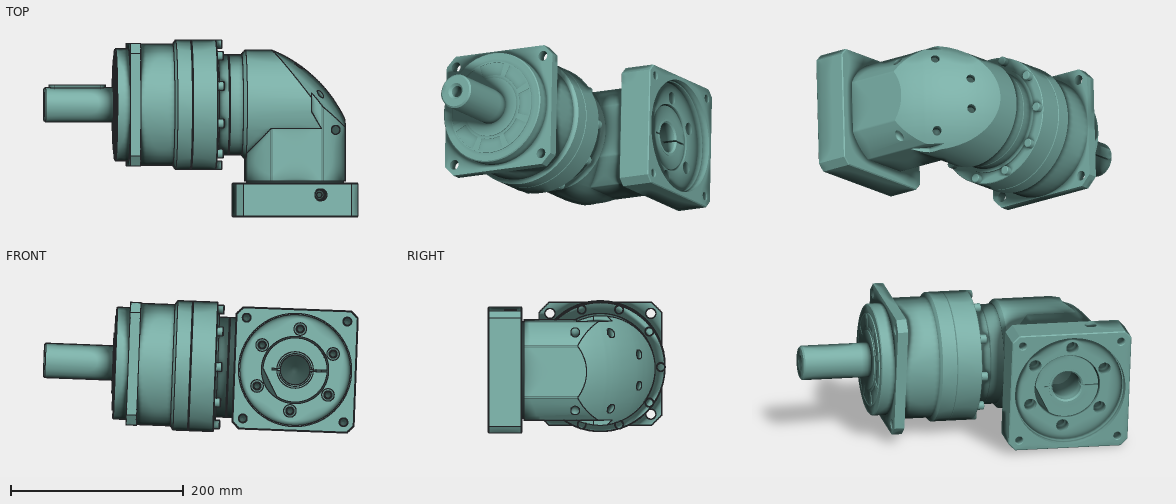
import cadquery as cq
import math

TILT = 2.2

SHAFT_R = 20.0
SHAFT_END_X = -291.0
SHAFT_INNER_X = -164.0
SHAFT_CHAMFER = 2.0
SHOULDER_R = 34.5
SHOULDER_X = -211.2
SHOULDER_LENGTH = 8.8
CENTRE_HOLE_R = 6.5
CENTRE_HOLE_MOUTH = 3.0
CENTRE_HOLE_DEPTH = 33.0
KEY_START_X = -285.3
KEY_LENGTH = 65.3
KEY_WIDTH = 12.0
KEY_TOP = 23.0
KEY_HEIGHT = 8.0

COVER_R = 54.5
COVER_X = -210.0
PILOT_R = 65.0
PILOT_X = -209.0
PILOT_CHAMFER = 1.0
FLANGE_X = -193.5
FLANGE_THICK = 12.0
FLANGE_SIDE = 142.3
FLANGE_CORNER = 11.5
FLANGE_HOLE_OFFSET = 58.5
FLANGE_HOLE_R = 6.0
BODY_R = 70.5
BODY_END_X = -142.0
COVER_POCKETS = 8
COVER_POCKET_INNER_R = 38.0
COVER_POCKET_OUTER_R = 53.0
COVER_POCKET_ANGLE = 36.0
COVER_POCKET_DEPTH = 0.7

RING_R = 75.0
RING_CONE_LENGTH = 3.3
RING_START_X = -121.0
RING_END_X = -92.0
RING_CHAMFER = 0.7
RING_BOSS_R = 62.0
RING_BOSS_LENGTH = 2.2
HEAD_COUNT = 10
HEAD_R = 5.0
HEAD_HEIGHT = 7.3
HEAD_CHAMFER = 0.7
HEAD_CIRCLE_R = RING_R - HEAD_R

NECK_R = 58.0
NECK_END_X = -77.7
NECK_CHAMFER = 0.7
ELBOW_R = 63.5
LIMB_R = 64.5
ELBOW_STEP_X = -62.0
ELBOW_STEP_CHAMFER = 4.5
ELBOW_MAIN_END_X = 16.8
ELBOW_END_SLOPE_Y = -8.0
ELBOW_END_SLOPE_LENGTH = 12.5
ELBOW_END_SLOPE_DROP = 21.0
LIMB_FLAT = 57.3
LIMB_EDGE_R = 4.5
LIMB_END_Y = -88.3
DOME_RIM_R = 160.5
DOME_CROWN_R = 106.5
DOME_TOP = 38.3
DOME_SHIFT = 1.5
DOME_HOLE_R = 5.0
DOME_HOLE_DEPTH = 11.0
DOME_HOLES = [(11.0, 43.8), (-29.2, 18.2)]
SIDE_HOLE_X = 45.5
SIDE_HOLE_Y = -29.2
SIDE_HOLE_FLOOR = 29.2

PLATE_FRONT_Y = -130.0
PLATE_THICK = 39.0
PLATE_BACK_Y = PLATE_FRONT_Y + PLATE_THICK
PLATE_SIDE = 141.5
PLATE_CORNER = 8.0
PLATE_EDGE = 1.0
SPIGOT_R = 56.2
RECESS_R = 65.5
RECESS_STEP_R = 64.2
RECESS_STEP_DEPTH = 8.5
RECESS_DEPTH = 14.5
FLOOR_Y = PLATE_FRONT_Y + RECESS_DEPTH
OPENING_R = 39.0
MOTOR_HOLE_OFFSET = 58.5
MOTOR_HOLE_R = 4.5
MOTOR_HOLE_DEPTH = 22.0
MOTOR_HOLE_MOUTH = 0.7
PLATE_BOLTS = 6
PLATE_BOLT_START = 25.0
PLATE_BOLT_CIRCLE_R = 47.8
BOLT_SEAT_R = 7.3
BOLT_SEAT_DEPTH = 11.0
BOLT_CLEARANCE_R = 4.7
BOLT_TAP_R = 3.5
BOLT_TAP_DEPTH = 18.2
ACCESS_R = 7.0

COLLAR_R = 37.2
COLLAR_FRONT_Y = -113.0
COLLAR_FLAT = 32.5
COLLAR_FLAT_ANGLE = 208.0
SLIT = 2.2
RELIEF_SLIT_R = 27.0
CLAMP_X = 27.5
CLAMP_Y = -104.5
CLAMP_HEAD_R = 5.5
CLAMP_SEAT_Z = 11.0
CLAMP_HEAD_HEIGHT = 9.0
CLAMP_SHANK_R = 3.3
CLAMP_END_Z = -18.2
CLAMP_SOCKET_ACROSS = 6.0
CLAMP_SOCKET_DEPTH = 4.5
HUB_R = 21.0
HUB_BORE_R = 17.0
HUB_CHAMFER = 2.0
HUB_FRONT_Y = -114.0
HUB_INNER_Y = -43.8
HUB_BORE_DEPTH = 51.0
HUB_SLIT_DEPTH = 18.2

DRILL_TIP_HALF_ANGLE = math.radians(59)


def turned(points):
    """Solid of revolution about X from (x, radius) points."""
    return cq.Workplane("XZ").polyline(points).close().revolve(360, (0, 0, 0), (1, 0, 0))


def cylinder(start, direction, radius, length):
    return cq.Workplane(cq.Solid.makeCylinder(radius, length, cq.Vector(*start), cq.Vector(*direction)))


def along_y(x, z, radius, y_start, length):
    return cylinder((x, y_start, z), (0, 1, 0), radius, length)


def drilled(start, direction, radius, depth):
    """Blind hole tool with a conical drill tip."""
    axis = cq.Vector(*direction)
    tip_start = cq.Vector(*start) + axis * depth
    tip_length = radius / math.tan(DRILL_TIP_HALF_ANGLE)
    tip = cq.Solid.makeCone(radius, 0, tip_length, tip_start, axis)
    return cylinder(start, direction, radius, depth).union(cq.Workplane(tip))


def countersink(start, direction, radius, widening):
    """Conical mouth that closes at 45 degrees down to the hole radius."""
    mouth = cq.Solid.makeCone(radius + widening, radius, widening, cq.Vector(*start), cq.Vector(*direction))
    return cq.Workplane(mouth)


def square_corners(offset):
    return [(side * offset, end * offset) for side in (-1, 1) for end in (-1, 1)]


def bolt_positions():
    angles = [math.radians(PLATE_BOLT_START + 360 / PLATE_BOLTS * i) for i in range(PLATE_BOLTS)]
    return [(PLATE_BOLT_CIRCLE_R * math.cos(a), PLATE_BOLT_CIRCLE_R * math.sin(a)) for a in angles]


def make_key():
    blank = cq.Workplane("XZ", origin=(KEY_START_X + KEY_LENGTH / 2, KEY_TOP, 0))
    return blank.slot2D(KEY_LENGTH, KEY_WIDTH).extrude(KEY_HEIGHT)


def make_shaft():
    shoulder_end_x = SHOULDER_X + SHOULDER_LENGTH
    shaft = turned([
        (SHAFT_END_X, 0),
        (SHAFT_END_X, SHAFT_R - SHAFT_CHAMFER),
        (SHAFT_END_X + SHAFT_CHAMFER, SHAFT_R),
        (SHOULDER_X, SHAFT_R),
        (SHOULDER_X, SHOULDER_R),
        (shoulder_end_x, SHOULDER_R),
        (shoulder_end_x, SHAFT_R),
        (SHAFT_INNER_X, SHAFT_R),
        (SHAFT_INNER_X, 0),
    ])
    end = (SHAFT_END_X, 0, 0)
    shaft = shaft.cut(drilled(end, (1, 0, 0), CENTRE_HOLE_R, CENTRE_HOLE_DEPTH))
    return shaft.cut(countersink(end, (1, 0, 0), CENTRE_HOLE_R, CENTRE_HOLE_MOUTH))


def cover_pockets():
    """Shallow sector-shaped pockets spread round the front cover."""
    ring = cylinder((COVER_X, 0, 0), (1, 0, 0), COVER_POCKET_OUTER_R, COVER_POCKET_DEPTH)
    ring = ring.cut(cylinder((COVER_X, 0, 0), (1, 0, 0), COVER_POCKET_INNER_R, COVER_POCKET_DEPTH))
    reach = 2 * COVER_POCKET_OUTER_R
    half_width = reach * math.tan(math.radians(COVER_POCKET_ANGLE / 2))
    wedge = cq.Workplane("YZ", origin=(COVER_X, 0, 0))
    wedge = wedge.polyline([(0, 0), (reach, -half_width), (reach, half_width)]).close()
    sector = ring.intersect(wedge.extrude(COVER_POCKET_DEPTH))
    pockets = sector
    for i in range(1, COVER_POCKETS):
        pockets = pockets.union(sector.rotate((0, 0, 0), (1, 0, 0), 360 / COVER_POCKETS * i))
    return pockets


def make_output_housing(shaft):
    ring_full_x = BODY_END_X + RING_CONE_LENGTH
    housing = turned([
        (COVER_X, 0),
        (COVER_X, COVER_R),
        (PILOT_X, COVER_R),
        (PILOT_X, PILOT_R - PILOT_CHAMFER),
        (PILOT_X + PILOT_CHAMFER, PILOT_R),
        (FLANGE_X, PILOT_R),
        (FLANGE_X, BODY_R),
        (BODY_END_X, BODY_R),
        (ring_full_x, RING_R),
        (RING_START_X - RING_CHAMFER, RING_R),
        (RING_START_X, RING_R - RING_CHAMFER),
        (RING_START_X, 0),
    ])
    flange = cq.Workplane("YZ", origin=(FLANGE_X, 0, 0)).rect(FLANGE_SIDE, FLANGE_SIDE)
    flange = flange.extrude(FLANGE_THICK).edges("|X").chamfer(FLANGE_CORNER)
    housing = housing.union(flange)
    for y, z in square_corners(FLANGE_HOLE_OFFSET):
        housing = housing.cut(cylinder((FLANGE_X, y, z), (1, 0, 0), FLANGE_HOLE_R, FLANGE_THICK))
    return housing.cut(cover_pockets()).cut(shaft)


def make_ring_gear():
    ring = turned([
        (RING_START_X, 0),
        (RING_START_X, RING_R - RING_CHAMFER),
        (RING_START_X + RING_CHAMFER, RING_R),
        (RING_END_X - RING_CHAMFER, RING_R),
        (RING_END_X, RING_R - RING_CHAMFER),
        (RING_END_X, 0),
    ])
    for i in range(HEAD_COUNT):
        angle = 2 * math.pi * i / HEAD_COUNT
        y = HEAD_CIRCLE_R * math.cos(angle)
        z = HEAD_CIRCLE_R * math.sin(angle)
        head = cylinder((RING_END_X, y, z), (1, 0, 0), HEAD_R, HEAD_HEIGHT)
        ring = ring.union(head.faces(">X").chamfer(HEAD_CHAMFER))
    return ring


def make_neck():
    boss_end_x = RING_END_X + RING_BOSS_LENGTH
    return turned([
        (RING_END_X, 0),
        (RING_END_X, RING_BOSS_R),
        (boss_end_x, RING_BOSS_R),
        (boss_end_x, NECK_R),
        (NECK_END_X - NECK_CHAMFER, NECK_R),
        (NECK_END_X, NECK_R - NECK_CHAMFER),
        (NECK_END_X, 0),
    ])


def limb():
    """Motor limb: a round bar along Y with four flats and eased edges between flats and rounds."""
    length = LIMB_R - LIMB_END_Y
    bar = along_y(0, 0, LIMB_R, LIMB_END_Y, length)
    block = cq.Workplane("XZ", origin=(0, LIMB_END_Y, 0)).rect(2 * LIMB_FLAT, 2 * LIMB_FLAT)
    return bar.intersect(block.extrude(-length)).edges("|Y").fillet(LIMB_EDGE_R)


def inside_bend_trim():
    """Space above the output axis, up to the end of the output limb, that the motor limb leaves free."""
    width = LIMB_R + ELBOW_MAIN_END_X
    block = cq.Workplane("XY").box(width, LIMB_R, 2 * LIMB_R, centered=(False, False, True))
    return block.translate((-LIMB_R, 0, 0))


def dome():
    """Barrel whose outer face crowns the outside of the bend, square to the bisector of both axes."""
    rim_z = LIMB_R
    rim_drop = DOME_CROWN_R - math.sqrt(DOME_CROWN_R**2 - rim_z**2)
    profile = cq.Workplane("XZ").moveTo(0, -rim_z).lineTo(DOME_RIM_R - rim_drop, -rim_z)
    profile = profile.threePointArc((DOME_RIM_R, 0), (DOME_RIM_R - rim_drop, rim_z)).lineTo(0, rim_z).close()
    barrel = profile.revolve(360, (0, 0, 0), (0, 1, 0))
    return barrel.translate((DOME_TOP - DOME_RIM_R, DOME_SHIFT, 0)).rotate((0, 0, 0), (0, 0, 1), 45)


def dome_hole(along, z):
    """Blind hole parallel to the bisector, at a distance along the bend from its middle."""
    drop = z**2 / (2 * DOME_CROWN_R) + along**2 / (2 * DOME_RIM_R)
    floor = DOME_TOP - drop - DOME_HOLE_DEPTH
    tool = cylinder((floor, -along, z), (1, 0, 0), DOME_HOLE_R, 2 * DOME_HOLE_DEPTH)
    return tool.rotate((0, 0, 0), (0, 0, 1), 45)


def end_relief():
    """Trims the end of the output limb: straight across, then sloping outward toward the motor limb."""
    outline = cq.Workplane("XY", origin=(0, 0, -ELBOW_R)).polyline([
        (ELBOW_MAIN_END_X, ELBOW_R),
        (ELBOW_MAIN_END_X, ELBOW_END_SLOPE_Y),
        (ELBOW_MAIN_END_X + ELBOW_END_SLOPE_LENGTH, ELBOW_END_SLOPE_Y - ELBOW_END_SLOPE_DROP),
        (ELBOW_R, ELBOW_END_SLOPE_Y - ELBOW_END_SLOPE_DROP),
        (ELBOW_R, ELBOW_R),
    ])
    return outline.close().extrude(2 * ELBOW_R)


def make_elbow():
    slope_end_x = ELBOW_MAIN_END_X + ELBOW_END_SLOPE_LENGTH
    main = turned([
        (NECK_END_X, 0),
        (NECK_END_X, NECK_R - NECK_CHAMFER),
        (NECK_END_X + NECK_CHAMFER, NECK_R),
        (ELBOW_STEP_X, NECK_R),
        (ELBOW_STEP_X, ELBOW_R - ELBOW_STEP_CHAMFER),
        (ELBOW_STEP_X + ELBOW_STEP_CHAMFER, ELBOW_R),
        (slope_end_x, ELBOW_R),
        (slope_end_x, 0),
    ])
    elbow = main.cut(end_relief()).union(limb().cut(inside_bend_trim()))
    elbow = elbow.intersect(dome())
    elbow = elbow.union(along_y(0, 0, SPIGOT_R, PLATE_BACK_Y, LIMB_END_Y - PLATE_BACK_Y))
    for x, z in bolt_positions():
        elbow = elbow.cut(drilled((x, PLATE_BACK_Y, z), (0, 1, 0), BOLT_TAP_R, BOLT_TAP_DEPTH))
    for side in (-1, 1):
        side_hole_start = (SIDE_HOLE_X, SIDE_HOLE_Y, side * SIDE_HOLE_FLOOR)
        elbow = elbow.cut(cylinder(side_hole_start, (0, 0, side), DOME_HOLE_R, LIMB_R))
        for along, z in DOME_HOLES:
            elbow = elbow.cut(dome_hole(along, side * z))
    return elbow.cut(along_y(0, 0, HUB_R, PLATE_BACK_Y, HUB_INNER_Y - PLATE_BACK_Y))


def make_motor_plate():
    plate = cq.Workplane("XZ", origin=(0, PLATE_BACK_Y, 0)).rect(PLATE_SIDE, PLATE_SIDE)
    plate = plate.extrude(PLATE_THICK).edges("|Y").chamfer(PLATE_CORNER)
    plate = plate.faces("<Y or >Y").edges().chamfer(PLATE_EDGE)
    plate = plate.cut(along_y(0, 0, RECESS_R, PLATE_FRONT_Y, RECESS_STEP_DEPTH))
    plate = plate.cut(along_y(0, 0, RECESS_STEP_R, PLATE_FRONT_Y, RECESS_DEPTH))
    plate = plate.cut(along_y(0, 0, OPENING_R, PLATE_FRONT_Y, PLATE_THICK))
    for x, z in square_corners(MOTOR_HOLE_OFFSET):
        mouth = (x, PLATE_FRONT_Y, z)
        plate = plate.cut(drilled(mouth, (0, 1, 0), MOTOR_HOLE_R, MOTOR_HOLE_DEPTH))
        plate = plate.cut(countersink(mouth, (0, 1, 0), MOTOR_HOLE_R, MOTOR_HOLE_MOUTH))
    for x, z in bolt_positions():
        plate = plate.cut(along_y(x, z, BOLT_SEAT_R, FLOOR_Y, BOLT_SEAT_DEPTH))
        plate = plate.cut(along_y(x, z, BOLT_CLEARANCE_R, FLOOR_Y, PLATE_THICK))
    return plate.cut(cylinder((CLAMP_X, CLAMP_Y, 0), (0, 0, 1), ACCESS_R, PLATE_SIDE))


def make_hub():
    hub = along_y(0, 0, HUB_R, HUB_FRONT_Y, HUB_INNER_Y - HUB_FRONT_Y)
    hub = hub.cut(drilled((0, HUB_FRONT_Y, 0), (0, 1, 0), HUB_BORE_R, HUB_BORE_DEPTH))
    hub = hub.cut(countersink((0, HUB_FRONT_Y, 0), (0, 1, 0), HUB_BORE_R, HUB_CHAMFER))
    slit = cq.Workplane("XY").box(2 * HUB_R, HUB_SLIT_DEPTH, SLIT, centered=(True, False, True))
    return hub.cut(slit.translate((0, HUB_FRONT_Y, 0)))


def clamp_screw_blank():
    shank = cylinder((CLAMP_X, CLAMP_Y, CLAMP_END_Z), (0, 0, 1), CLAMP_SHANK_R, CLAMP_SEAT_Z - CLAMP_END_Z)
    head = cylinder((CLAMP_X, CLAMP_Y, CLAMP_SEAT_Z), (0, 0, 1), CLAMP_HEAD_R, CLAMP_HEAD_HEIGHT)
    return shank.union(head)


def make_clamp_screw():
    head_top = cq.Workplane("XY", origin=(CLAMP_X, CLAMP_Y, CLAMP_SEAT_Z + CLAMP_HEAD_HEIGHT))
    across_corners = CLAMP_SOCKET_ACROSS / math.cos(math.pi / 6)
    return clamp_screw_blank().cut(head_top.polygon(6, across_corners).extrude(-CLAMP_SOCKET_DEPTH))


def make_collar():
    length = PLATE_BACK_Y - COLLAR_FRONT_Y
    collar = along_y(0, 0, COLLAR_R, COLLAR_FRONT_Y, length)
    trim = cq.Workplane("XY").box(COLLAR_R, length, 2 * COLLAR_R, centered=(False, False, True))
    trim = trim.translate((COLLAR_FLAT, COLLAR_FRONT_Y, 0))
    collar = collar.cut(trim.rotate((0, 0, 0), (0, 1, 0), -COLLAR_FLAT_ANGLE))
    collar = collar.cut(along_y(0, 0, HUB_R, COLLAR_FRONT_Y, length))
    slit_length = RELIEF_SLIT_R + COLLAR_R
    slit = cq.Workplane("XY").box(slit_length, length, SLIT, centered=(False, False, True))
    collar = collar.cut(slit.translate((-RELIEF_SLIT_R, COLLAR_FRONT_Y, 0)))
    head_pocket = cylinder((CLAMP_X, CLAMP_Y, CLAMP_SEAT_Z), (0, 0, 1), CLAMP_HEAD_R, COLLAR_R)
    return collar.cut(head_pocket).cut(clamp_screw_blank())


key = make_key()
shaft = make_shaft().cut(key)
output_housing = make_output_housing(shaft)
ring_gear = make_ring_gear()
neck = make_neck()
hub = make_hub()
elbow = make_elbow()
motor_plate = make_motor_plate()
collar = make_collar()
clamp_screw = make_clamp_screw()

bodies = [key, shaft, output_housing, ring_gear, neck, elbow, motor_plate, collar, hub, clamp_screw]
result = cq.Compound.makeCompound([body.solids().val().rotate((0, 0, 0), (0, 1, 0), TILT) for body in bodies])